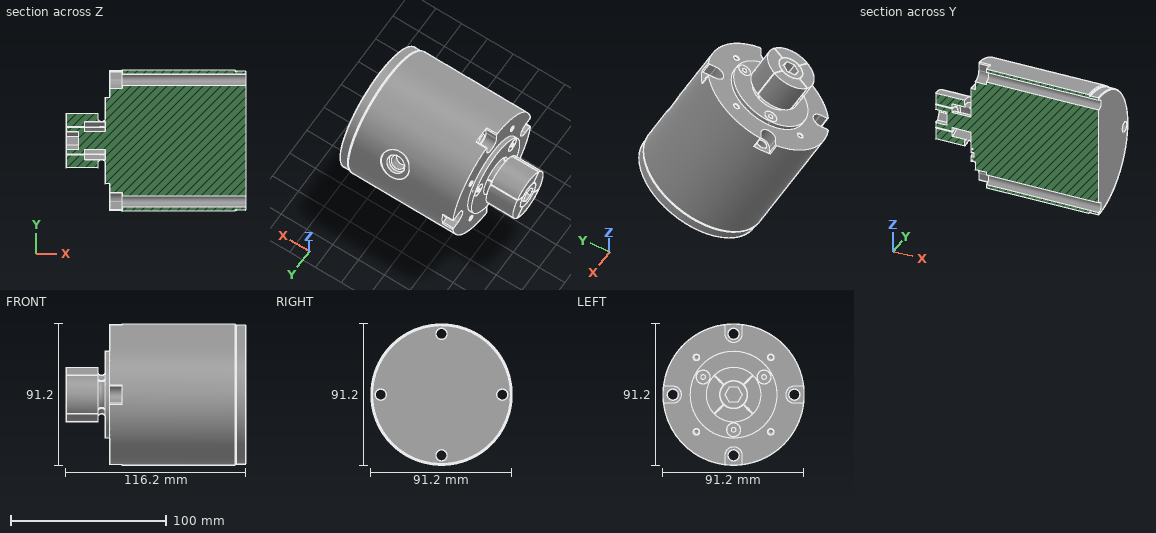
import cadquery as cq
import math

overall_length = 116.15
body_radius = 91.24 / 2

nose_radius = 17.6
nose_length = 20.75
neck_width = 4.4
neck_arc_radius = 2.5
neck_min_radius = 12.5
flange_radius = 28.0
flange_thickness = 3.0
flange_start = nose_length + neck_width
body_start = flange_start + flange_thickness

cover_radius = 45.0
cover_start = 110.0
cover_chamfer = 0.5
rear_groove_width = 0.5
rear_groove_depth = 0.5
body_end = cover_start - rear_groove_width
body_chamfer = body_radius - cover_radius

bore_radius = 9.05
bolt_head_radius = 8.75
bolt_head_height = 12.0
bolt_shank_radius = 6.0
bore_relief_start = bolt_head_height
bore_relief_radius = 12.2
hexagon_across_flats = 9.7
hexagon_depth = 8.0
slot_width = 0.5
slot_count = 4

screw_count = 3
screw_circle_radius = 22.7
screw_pocket_diameter = 9.0
screw_head_diameter = 8.8
screw_head_height = 2.0
screw_socket_diameter = 3.0
screw_first_angle = 30.0

mount_count = 4
mount_circle_radius = 39.2
mount_hole_diameter = 7.0
notch_width = 11.0
notch_depth = 8.0
notch_chamfer = 0.75

tapped_count = 4
tapped_circle_radius = 24.0 * math.sqrt(2)
tapped_mouth_diameter = 4.25
tapped_diameter = 3.4
tapped_depth = 10.0
drill_point_angle = 118.0

port_x = 77.0
port_elevation = 30.0
port_spotface_radius = 10.5
port_spotface_height = 44.3
port_hole_radius = 6.5
port_hole_depth = 3.15
port_inner_radius = 5.0
port_inner_depth = 10.0


def x_plane(x):
    """Plane normal to the part axis, local x along +Y and local y along +Z."""
    return cq.Workplane("YZ", origin=(x, 0, 0))


def disc(x_from, x_to, radius):
    return x_plane(x_from).circle(radius).extrude(x_to - x_from)


def around_axis(shape, count, first_angle=0.0):
    """Union of copies of a shape spaced evenly about the part axis."""
    copies = cq.Workplane("XY")
    for i in range(count):
        angle = first_angle + i * 360.0 / count
        copies = copies.add(shape.rotate((0, 0, 0), (1, 0, 0), angle))
    return copies.combine()


def make_blank():
    neck_middle = nose_length + neck_width / 2
    neck_sagitta = neck_arc_radius - math.sqrt(neck_arc_radius**2 - (neck_width / 2) ** 2)
    neck_edge_radius = neck_min_radius + neck_sagitta
    groove_floor = cover_radius - rear_groove_depth
    profile = (
        cq.Workplane("XY")
        .moveTo(0, 0)
        .lineTo(0, nose_radius)
        .lineTo(nose_length, nose_radius)
        .lineTo(nose_length, neck_edge_radius)
        .threePointArc((neck_middle, neck_min_radius), (flange_start, neck_edge_radius))
        .lineTo(flange_start, flange_radius)
        .lineTo(body_start, flange_radius)
        .lineTo(body_start, body_radius)
        .lineTo(body_end - body_chamfer, body_radius)
        .lineTo(body_end, cover_radius)
        .lineTo(body_end, groove_floor)
        .lineTo(cover_start, groove_floor)
        .lineTo(cover_start, cover_radius)
        .lineTo(overall_length - cover_chamfer, cover_radius)
        .lineTo(overall_length, cover_radius - cover_chamfer)
        .lineTo(overall_length, 0)
        .close()
    )
    return profile.revolve(360, (0, 0, 0), (1, 0, 0))


def make_clamp_cut():
    """Hollow of the clamp around the bolt, plus the diagonal slots."""
    hollow = disc(0, bore_relief_start, bore_radius)
    hollow = hollow.union(disc(bore_relief_start, flange_start, bore_relief_radius))
    slot = cq.Workplane("XY").box(
        flange_start, slot_width, nose_radius + 1, centered=(False, True, False)
    )
    slots = around_axis(slot, slot_count, 45)
    bolt_head = disc(0, bolt_head_height, bolt_head_radius)
    bolt = bolt_head.union(disc(0, flange_start, bolt_shank_radius))
    across_corners = hexagon_across_flats / math.cos(math.radians(30))
    socket = x_plane(0).polygon(6, across_corners).extrude(hexagon_depth)
    return hollow.union(slots).cut(bolt).union(socket)


def make_screw_cut():
    ring = (
        x_plane(flange_start)
        .center(screw_circle_radius, 0)
        .circle(screw_pocket_diameter / 2)
        .circle(screw_head_diameter / 2)
        .extrude(screw_head_height)
    )
    socket = (
        x_plane(flange_start)
        .center(screw_circle_radius, 0)
        .circle(screw_socket_diameter / 2)
        .extrude(screw_head_height)
    )
    return around_axis(ring.union(socket), screw_count, screw_first_angle)


def make_mount_cut():
    hole = (
        x_plane(body_start)
        .center(mount_circle_radius, 0)
        .circle(mount_hole_diameter / 2)
        .extrude(overall_length - body_start)
    )
    round_end = (
        x_plane(body_start)
        .center(mount_circle_radius, 0)
        .circle(notch_width / 2)
        .extrude(notch_depth)
    )
    mouth = cq.Workplane("XY", origin=(body_start, mount_circle_radius, 0)).box(
        notch_depth, body_radius - mount_circle_radius, notch_width, centered=(False, False, True)
    )
    half_mouth = notch_width / 2 + notch_chamfer
    rim_height = math.sqrt(body_radius**2 - half_mouth**2)
    wedge_half_width = half_mouth + body_radius - rim_height
    bevel = (
        x_plane(body_start)
        .moveTo(rim_height - half_mouth, 0)
        .lineTo(body_radius, wedge_half_width)
        .lineTo(body_radius, -wedge_half_width)
        .close()
        .extrude(notch_depth)
    )
    return around_axis(hole.union(round_end).union(mouth).union(bevel), mount_count)


def make_tapped_cut():
    """Drilled holes with a chamfered mouth and a conical bottom."""
    radius = tapped_diameter / 2
    mouth_radius = tapped_mouth_diameter / 2
    point_length = radius / math.tan(math.radians(drill_point_angle / 2))
    hole = (
        cq.Workplane("XY", origin=(body_start, tapped_circle_radius, 0))
        .lineTo(0, mouth_radius)
        .lineTo(mouth_radius - radius, radius)
        .lineTo(tapped_depth, radius)
        .lineTo(tapped_depth + point_length, 0)
        .close()
        .revolve(360, (0, 0, 0), (1, 0, 0))
    )
    return around_axis(hole, tapped_count, 45)


def make_port_cut():
    port_plane = cq.Workplane("XZ", origin=(port_x, port_spotface_height, 0))
    spotface = port_plane.circle(port_spotface_radius).extrude(port_spotface_height - body_radius)
    hole = port_plane.circle(port_hole_radius).extrude(port_hole_depth)
    inner = port_plane.circle(port_inner_radius).extrude(port_inner_depth)
    port = spotface.union(hole).union(inner)
    return port.rotate((0, 0, 0), (1, 0, 0), port_elevation)


result = (
    make_blank()
    .cut(make_clamp_cut())
    .cut(make_screw_cut())
    .cut(make_mount_cut())
    .cut(make_tapped_cut())
    .cut(make_port_cut())
)